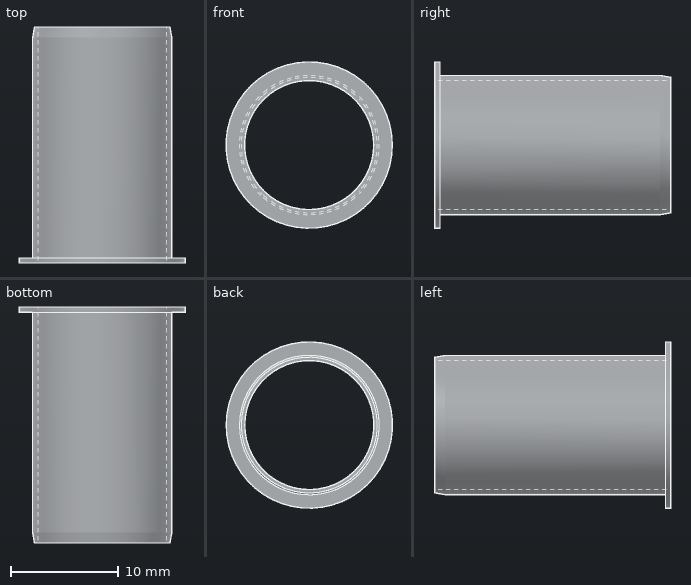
import cadquery as cq

length = 22.0
flange_diameter = 15.5
flange_thickness = 0.5
sleeve_diameter = 13.0
bore_diameter = 12.0

taper_length = 1.0
taper_depth = 0.18

flange_radius = flange_diameter / 2
sleeve_radius = sleeve_diameter / 2
bore_radius = bore_diameter / 2

half_section = (
    cq.Workplane("XY")
    .moveTo(bore_radius, 0)
    .lineTo(flange_radius, 0)
    .lineTo(flange_radius, flange_thickness)
    .lineTo(sleeve_radius, flange_thickness)
    .lineTo(sleeve_radius, length - taper_length)
    .lineTo(sleeve_radius - taper_depth, length)
    .lineTo(bore_radius, length)
    .close()
)

result = half_section.revolve(360, (0, 0, 0), (0, 1, 0))